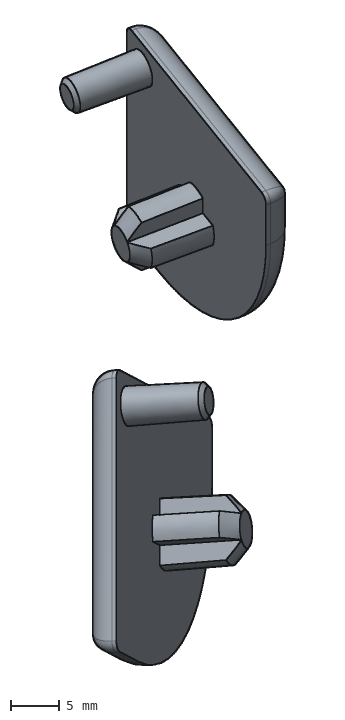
import cadquery as cq
import math

plate_size = 29.8
plate_thickness = 3.5
plate_rim = 0.5
large_corner_radius = 23.0
small_corner_radius = 1.0

pad_diameter = 8.4
pad_height = 0.2

stud_length = 9.0
draft_angle = 0.8

pin_base_diameter = 4.2
pin_chamfer = 0.5
pin_edge_offset = 3.4

cross_base_diameter = 7.6
cross_chamfer = 1.7
cross_arm_width = 2.8

half_size = plate_size / 2
edge_rounding = plate_thickness - plate_rim


def make_plate():
    """Quarter-round plate with a rounded back edge and three softened corners."""
    arc_middle = half_size - large_corner_radius * (1 - math.sqrt(0.5))
    arc_start = half_size - large_corner_radius
    return (
        cq.Workplane("XZ")
        .moveTo(-half_size, -half_size)
        .lineTo(arc_start, -half_size)
        .threePointArc((arc_middle, -arc_middle), (half_size, -arc_start))
        .lineTo(half_size, half_size)
        .lineTo(-half_size, half_size)
        .close()
        .extrude(-plate_thickness)
        .faces(">Y")
        .edges()
        .fillet(edge_rounding)
        .edges("%ELLIPSE")
        .fillet(small_corner_radius)
    )


def make_stud(base_diameter, chamfer):
    """Drafted round stud along -Y with a 45 degree chamfered tip."""
    shank_length = stud_length - chamfer
    base_radius = base_diameter / 2
    tip_radius = base_radius - shank_length * math.tan(math.radians(draft_angle))
    return (
        cq.Workplane("XY")
        .moveTo(0, 0)
        .lineTo(-base_radius, 0)
        .lineTo(-tip_radius, -shank_length)
        .lineTo(chamfer - tip_radius, -stud_length)
        .lineTo(0, -stud_length)
        .close()
        .revolve(360, (0, 0, 0), (0, 1, 0))
    )


def make_cross_stud():
    """Round stud cut down to four arms."""
    arm_span = 2 * cross_base_diameter
    arms = (
        cq.Workplane("XZ")
        .rect(arm_span, cross_arm_width)
        .extrude(stud_length)
        .union(cq.Workplane("XZ").rect(cross_arm_width, arm_span).extrude(stud_length))
    )
    return make_stud(cross_base_diameter, cross_chamfer).intersect(arms)


def make_pin():
    """Round locating pin in the square corner."""
    pin_position = half_size - pin_edge_offset
    return make_stud(pin_base_diameter, pin_chamfer).translate((-pin_position, 0, pin_position))


def make_pad():
    """Thin round pad on the back of the plate."""
    return (
        cq.Workplane("XZ", origin=(0, plate_thickness, 0))
        .circle(pad_diameter / 2)
        .extrude(-pad_height)
    )


result = make_plate().union(make_pad()).union(make_cross_stud()).union(make_pin())